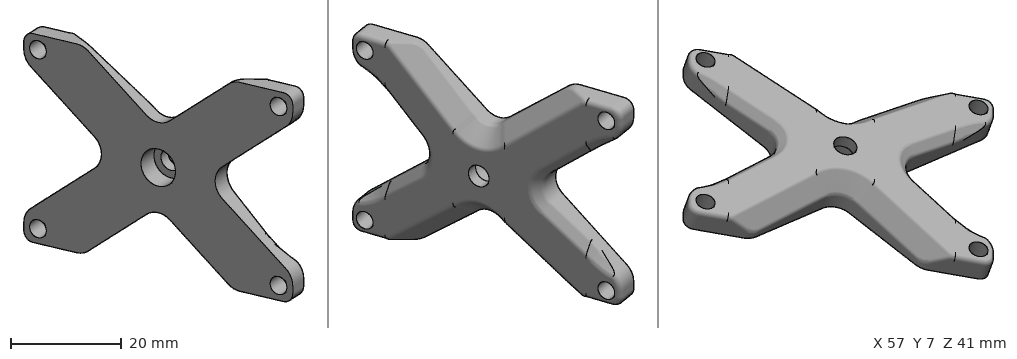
import cadquery as cq
import math

length = 57.0
height = 41.0
thickness = 7.0
tip_thickness = 4.6

arm_angle = math.radians(38.7)
arm_half_width = 6.05
round_radius = 4.0
tip_radius = 2.0

middle_half = 5.4
slope_end = 21.2

long_drop = 3.7
long_bevel_angle = 48.0
short_bevel = 1.7
short_bevel_angle = 45.0
back_fillet = 1.1

bevel_lead = 2.6
runout_radius = 10.25
runout_turn = math.radians(45)

bore_radius = 2.15
counterbore_radius = 3.65
counterbore_depth = 4.5
tip_hole_radius = 1.75
tip_hole_x = 25.5
tip_hole_z = 17.55

margin = 0.55
overrun = 2.85
reach = 45.6

half_length = length / 2
half_height = height / 2
sin_arm = math.sin(arm_angle)
cos_arm = math.cos(arm_angle)
slope = (thickness - tip_thickness) / (slope_end - middle_half)
long_steepness = math.tan(math.radians(long_bevel_angle))
long_setback = long_drop / long_steepness


def roof_y(x):
    """Height of the middle and sloped back faces."""
    return thickness - slope * max(0, x - middle_half)


def upper_edge_z(x, gap=0.0):
    """Z of the upper edge of the upper right arm, moved out of the arm by gap."""
    return (arm_half_width + gap + x * sin_arm) / cos_arm


def lower_edge_z(x):
    """Z of the lower edge of the upper right arm."""
    return (x * sin_arm - arm_half_width) / cos_arm


def arm_point(along, across):
    """Point (X, Z) of the upper right arm: along its centre line, then across towards +Z."""
    return (along * cos_arm - across * sin_arm, along * sin_arm + across * cos_arm)


def mirrored(item):
    """The item and its mirror images about both axes of the part."""
    pair = [item, item.mirror("XY")]
    return pair + [half.mirror("YZ") for half in pair]


def cut_all(body, tools):
    for tool in tools:
        body = body.cut(tool)
    return body


def slab(x_start, x_end):
    """Everything between two X positions."""
    return cq.Workplane("YZ", origin=(x_start, 0, 0)).rect(4 * reach, 4 * reach).extrude(x_end - x_start)


def edges_at(body, x, y, z):
    """Edges through a point or one of its mirror images about both axes."""
    near = 0.05
    points = [cq.Vertex.makeVertex(i * x, y, j * z) for i in (1, -1) for j in (1, -1)]
    return body.edges().filter(lambda edge: min(edge.distance(point) for point in points) < near)




def valley(along_z, y, gap=0.0):
    """Outline, at depth y, of the space between two arms, moved away from the arms by gap."""
    half_angle = math.pi / 2 - arm_angle if along_z else arm_angle
    axis = (0, 0, 1) if along_z else (1, 0, 0)
    radius = round_radius - gap
    centre = (arm_half_width + round_radius) / math.sin(half_angle)
    start = centre - radius * math.sin(half_angle)
    start_side = radius * math.cos(half_angle)
    end_side = start_side + (reach - start) * math.tan(half_angle)
    return (
        cq.Workplane(cq.Plane((0, y, 0), axis, (0, 1, 0)))
        .moveTo(start, start_side)
        .lineTo(reach, end_side)
        .lineTo(reach, -end_side)
        .lineTo(start, -start_side)
        .threePointArc((centre - radius, 0), (start, start_side))
        .close()
    )


def cross_plate(plate_length, plate_thickness):
    """Flat X plate with its roots and the corners of its top and bottom edges rounded."""
    plate = cq.Workplane("XZ").rect(plate_length, height).extrude(-plate_thickness)
    for along_z in (True, False):
        plate = cut_all(plate, mirrored(valley(along_z, 0).extrude(plate_thickness)))
    corner_x = (half_height * cos_arm - arm_half_width) / sin_arm
    return edges_at(plate, corner_x, plate_thickness / 2, half_height).fillet(round_radius)




def sloped_plate():
    """X plate under the middle and sloped back faces, running on past the ends of the slopes."""
    end = slope_end + overrun
    roof = (
        cq.Workplane("XY")
        .moveTo(-end, 0)
        .lineTo(-end, roof_y(end))
        .lineTo(-middle_half, thickness)
        .lineTo(middle_half, thickness)
        .lineTo(end, roof_y(end))
        .lineTo(end, 0)
        .close()
        .extrude(reach, both=True)
    )
    return cross_plate(2 * end, thickness).intersect(roof)


def add_short_bevels(body):
    """Bevel the two side valleys and round both borders of each bevel."""
    root_x = (arm_half_width + round_radius) / sin_arm - round_radius
    body = edges_at(body, root_x, roof_y(root_x), 0).chamfer(short_bevel)
    top_x = root_x - short_bevel
    borders = edges_at(body, root_x, roof_y(root_x) - short_bevel, 0)
    borders = borders.add(edges_at(body, top_x, roof_y(top_x), 0))
    return borders.fillet(back_fillet)


def bend_point(outward):
    """Point (X, Z) on the line across the arm where the long bevel bends from root to flank."""
    bend_z = upper_edge_z(middle_half, -long_setback)
    return (middle_half - outward * sin_arm, bend_z + outward * cos_arm)


def long_root_cutter():
    """Tapered cutter for the bevel around the root of the upper valley."""
    outline = valley(True, thickness - long_drop - margin, margin / long_steepness)
    return outline.extrude(long_drop + 2 * margin, taper=long_bevel_angle - 90)


def long_flank_cutter():
    """Wedge that follows the slope along the upper edge of the upper right arm."""
    bottom = thickness - long_drop - margin
    top = thickness + margin
    inner = -margin / long_steepness
    outer = long_setback - inner
    section = [(bottom, outer), (top, inner), (top, reach), (bottom, reach)]
    corners = [cq.Vector(bend_point(across)[0], y, bend_point(across)[1]) for y, across in section]
    path = cq.Vector(1, -slope, sin_arm / cos_arm) * half_length
    return cq.Workplane(cq.Solid.extrudeLinear(cq.Wire.makePolygon(corners, close=True), [], path))


def add_long_bevels(body):
    """Bevel the upper and lower valleys and round the border between bevel and wall."""
    root = long_root_cutter()
    body = cut_all(body, [root, root.mirror("XY")] + mirrored(long_flank_cutter()))
    root_z = upper_edge_z(0, round_radius) - round_radius
    wall_x = (middle_half + slope_end) / 2 - overrun
    wall_y = roof_y(wall_x + long_setback * sin_arm) - long_drop
    borders = edges_at(body, 0, thickness - long_drop, root_z)
    borders = borders.add(edges_at(body, wall_x, wall_y, upper_edge_z(wall_x)))
    return borders.fillet(back_fillet)


def right_side():
    """Space to the right of the bends in the back face and in the long bevels."""
    bend_x, bend_z = bend_point(0)
    far_x, far_z = bend_point(2 * long_setback)
    return (
        cq.Workplane("XZ")
        .moveTo(bend_x, bend_z)
        .lineTo(far_x, far_z)
        .lineTo(far_x, reach)
        .lineTo(reach, reach)
        .lineTo(reach, -reach)
        .lineTo(far_x, -reach)
        .lineTo(far_x, -far_z)
        .lineTo(bend_x, -bend_z)
        .close()
        .extrude(-thickness)
    )


def middle_with_slopes():
    """Middle and slopes; the upper borders of the long bevels are rounded part by part."""
    body = add_long_bevels(add_short_bevels(sloped_plate()))
    side = body.intersect(right_side())
    middle = body.cut(right_side()).cut(right_side().mirror("YZ"))
    top_root_z = upper_edge_z(0, round_radius) - round_radius - long_setback
    middle = edges_at(middle, 0, thickness, top_root_z).fillet(back_fillet)
    flank_x = (middle_half + slope_end) / 2
    flank_z = upper_edge_z(flank_x, -long_setback)
    side = edges_at(side, flank_x, roof_y(flank_x), flank_z).fillet(back_fillet)
    side = side.intersect(slab(0, slope_end))
    return middle.union(side).union(side.mirror("YZ"))




def rounded_tip_plate():
    """Flat plate of tip thickness with all its back edges rounded."""
    plate = cross_plate(length, tip_thickness)
    mid_y = tip_thickness / 2
    plate = edges_at(plate, half_length, mid_y, half_height).fillet(tip_radius)
    plate = edges_at(plate, half_length, mid_y, lower_edge_z(half_length)).fillet(round_radius)
    return plate.faces(">Y").edges().fillet(back_fillet)


def bevelled_tip_block():
    """Block whose lower side is the short bevel of the upper right tip, running out in an arc."""
    lead = (slope_end - arm_half_width * sin_arm) / cos_arm + bevel_lead

    def arc_point(turn):
        drop = runout_radius * (1 - math.cos(turn))
        return arm_point(lead + runout_radius * math.sin(turn), -arm_half_width - drop)

    arc_end = arc_point(runout_turn)
    start = arm_point(arm_half_width, -arm_half_width)
    outline = (
        cq.Workplane("XZ")
        .moveTo(*start)
        .lineTo(*arm_point(lead, -arm_half_width))
        .threePointArc(arc_point(runout_turn / 2), arc_end)
        .lineTo(reach, arc_end[1])
        .lineTo(reach, reach)
        .lineTo(start[0], reach)
        .close()
    )
    wall_height = tip_thickness - short_bevel
    wall = outline.extrude(-wall_height)
    bevel = wall.faces(">Y").wires().toPending().workplane().extrude(short_bevel, taper=short_bevel_angle)
    flank = lead - bevel_lead
    wall_x, wall_z = arm_point(flank, -arm_half_width)
    top_x, top_z = arm_point(flank, -arm_half_width + short_bevel)
    borders = edges_at(bevel, wall_x, wall_height, wall_z)
    borders = borders.add(edges_at(bevel, top_x, tip_thickness, top_z))
    return borders.fillet(back_fillet)


def tip():
    """Upper right tip."""
    block = bevelled_tip_block().intersect(slab(slope_end, reach))
    return rounded_tip_plate().intersect(block)


def holes():
    """Counterbored centre hole and four tip holes, all from the front."""
    front = cq.Workplane("XZ")
    centre = front.circle(bore_radius).extrude(-thickness)
    counterbore = front.circle(counterbore_radius).extrude(-counterbore_depth)
    corners = front.rect(2 * tip_hole_x, 2 * tip_hole_z, forConstruction=True).vertices()
    tip_holes = corners.circle(tip_hole_radius).extrude(-thickness)
    return [centre, counterbore, tip_holes]


body = middle_with_slopes()
for arm_tip in mirrored(tip()):
    body = body.union(arm_tip)
result = cut_all(body, holes())